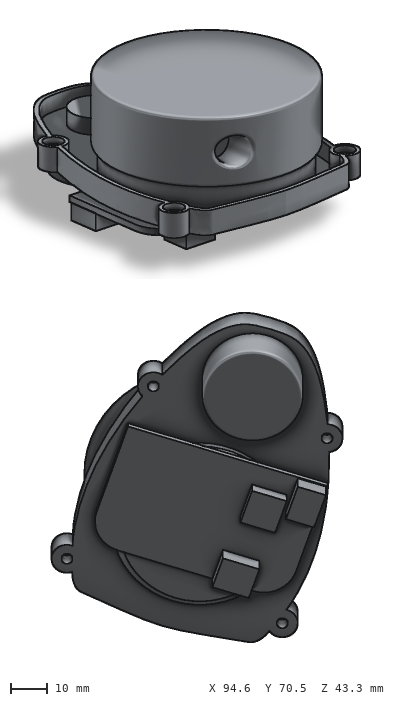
import cadquery as cq
import math


TRAY_HEIGHT = 7.4
FLOOR_THICKNESS = 2.4
WALL_THICKNESS = 1.5
TRAY_LEFT_X = -61.52
TRAY_RIGHT_X = 33.08
UPPER_OUTLINE_POINTS = [
    (TRAY_LEFT_X, 0),
    (-60.4, 8.0),
    (-57.4, 12.45),
    (-47.15, 19.85),
    (-35.0, 25.5),
    (-18.0, 30.7),
    (0.5, 32.9),
    (16.0, 31.25),
    (24.0, 28.9),
    (28.0, 27.2),
    (29.9, 25.3),
    (30.6, 22.5),
    (31.9, 13.0),
    (TRAY_RIGHT_X, 0),
]
INSET_STEPS = 80

LUG_CENTERS = [(-35.0, 25.0), (22.0, 31.0)]
LUG_DIAMETER = 8.5
SCREW_HOLE_DIAMETER = 3.0
COUNTERBORE_DIAMETER = 6.1
COUNTERBORE_DEPTH = 2.0

TURRET_DIAMETER = 63.3
TURRET_BOTTOM = 10.9
TURRET_TOP = 31.7
TURRET_EDGE_RADIUS = 1.0
NECK_DIAMETER = 59.7
BOSS_DIAMETER = 48.0
BOSS_DEPTH = 4.2
BOSS_CHAMFER = 2.0

SIGHT_HOLE_DIAMETER = 8.8
SIGHT_HOLE_Y = -13.8
SIGHT_HOLE_Z = (TURRET_BOTTOM + TURRET_TOP) / 2
SIGHT_HOLE_END_X = 20.0
SIGHT_HOLE_EDGE_RADIUS = 1.0

MOTOR_X = -45.7
MOTOR_DIAMETER = 27.5
MOTOR_DEPTH = 11.15
MOTOR_EDGE_RADIUS = 1.0
PULLEY_DIAMETER = 16.4

BOARD_X_RANGE = (-24.1, 12.4)
BOARD_WIDTH = 57.4
BOARD_THICKNESS = 2.0
BOARD_CORNER_RADIUS = 9.2
BOARD_TOP = -BOSS_DEPTH
BOARD_BOTTOM = BOARD_TOP - BOARD_THICKNESS
TALL_CONNECTOR_BOTTOM = -11.6
SHORT_CONNECTOR_BOTTOM = -10.25
CONNECTORS = [
    ((-23.8, -13.5), (-28.4, -20.3), TALL_CONNECTOR_BOTTOM),
    ((BOARD_X_RANGE[1] - BOARD_CORNER_RADIUS, BOARD_X_RANGE[1]), (-18.2, -7.7), TALL_CONNECTOR_BOTTOM),
    ((-18.1, -8.0), (-19.0, -9.0), SHORT_CONNECTOR_BOTTOM),
]


def cylinder(diameter, bottom, top, center=(0, 0)):
    """Upright cylinder between two heights."""
    return cq.Workplane("XY", origin=(*center, bottom)).circle(diameter / 2).extrude(top - bottom)


def box(x_range, y_range, bottom, top):
    """Block between the given limits."""
    size = (x_range[1] - x_range[0], y_range[1] - y_range[0], top - bottom)
    corner = (x_range[0], y_range[0], bottom)
    return cq.Workplane("XY").box(*size, centered=False).translate(corner)


def half_outline(points):
    """Smooth curve from the left tip over to the right tip, square to the X axis at both."""
    up_and_down = [cq.Vector(0, 1), cq.Vector(0, -1)]
    return cq.Edge.makeSpline(points, tangents=up_and_down, scale=False)


def inset_curve(curve, distance):
    """Half outline a constant distance inside the given half outline."""
    points = []
    for step in range(INSET_STEPS + 1):
        place = curve.positionAt(step / INSET_STEPS)
        direction = curve.tangentAt(step / INSET_STEPS)
        points.append(place + cq.Vector(direction.y, -direction.x) * distance)
    return half_outline(points)


def upright_solid(upper_half, bottom, top):
    """Outline made of a half and its mirror image in Y, extruded between two heights."""
    wire = cq.Wire.assembleEdges([upper_half, upper_half.mirror("XZ")])
    solid = cq.Solid.extrudeLinear(wire, [], cq.Vector(0, 0, top - bottom))
    return cq.Workplane("XY").add(solid.translate(cq.Vector(0, 0, bottom)))


def make_tray():
    outline = half_outline([cq.Vector(x, y) for x, y in UPPER_OUTLINE_POINTS])
    blank = upright_solid(outline, 0, TRAY_HEIGHT)
    cavity = upright_solid(inset_curve(outline, WALL_THICKNESS), FLOOR_THICKNESS, TRAY_HEIGHT)
    return blank.cut(cavity)


def add_lug(tray, center):
    """Join a screw lug to the tray and drill its counterbored hole."""
    counterbore_floor = TRAY_HEIGHT - COUNTERBORE_DEPTH
    lug = cylinder(LUG_DIAMETER, 0, TRAY_HEIGHT, center)
    screw_hole = cylinder(SCREW_HOLE_DIAMETER, 0, TRAY_HEIGHT, center)
    counterbore = cylinder(COUNTERBORE_DIAMETER, counterbore_floor, TRAY_HEIGHT, center)
    return tray.union(lug).cut(screw_hole).cut(counterbore)


def make_turret():
    turret = cylinder(TURRET_DIAMETER, TURRET_BOTTOM, TURRET_TOP).edges().fillet(TURRET_EDGE_RADIUS)
    hole_end = (SIGHT_HOLE_END_X, SIGHT_HOLE_Y, SIGHT_HOLE_Z)
    hole = (
        cq.Workplane("YZ", origin=hole_end)
        .circle(SIGHT_HOLE_DIAMETER / 2)
        .extrude(TURRET_DIAMETER / 2 - SIGHT_HOLE_END_X)
    )
    rim_x = math.sqrt((TURRET_DIAMETER / 2) ** 2 - SIGHT_HOLE_Y ** 2)
    rim = cq.selectors.NearestToPointSelector((rim_x, SIGHT_HOLE_Y, SIGHT_HOLE_Z))
    return turret.cut(hole).edges(rim).fillet(SIGHT_HOLE_EDGE_RADIUS)


def make_boss():
    boss = cylinder(BOSS_DIAMETER, -BOSS_DEPTH, 0)
    return boss.faces("<Z").edges().chamfer(BOSS_CHAMFER)


def make_motor():
    motor = cylinder(MOTOR_DIAMETER, -MOTOR_DEPTH, 0, (MOTOR_X, 0))
    return motor.faces("<Z").edges().fillet(MOTOR_EDGE_RADIUS)


def make_board():
    y_range = (-BOARD_WIDTH / 2, BOARD_WIDTH / 2)
    board = box(BOARD_X_RANGE, y_range, BOARD_BOTTOM, BOARD_TOP)
    board = board.edges("|Z and >X").fillet(BOARD_CORNER_RADIUS)
    for connector_x_range, connector_y_range, bottom in CONNECTORS:
        board = board.union(box(connector_x_range, connector_y_range, bottom, BOARD_BOTTOM))
    return board


result = make_tray()
for lug_x, lug_y in LUG_CENTERS:
    for side in (1, -1):
        result = add_lug(result, (lug_x, side * lug_y))
result = (
    result
    .union(cylinder(NECK_DIAMETER, 0, TURRET_BOTTOM))
    .union(make_turret())
    .union(cylinder(PULLEY_DIAMETER, 0, TRAY_HEIGHT, (MOTOR_X, 0)))
    .union(make_motor())
    .union(make_boss())
    .union(make_board())
)